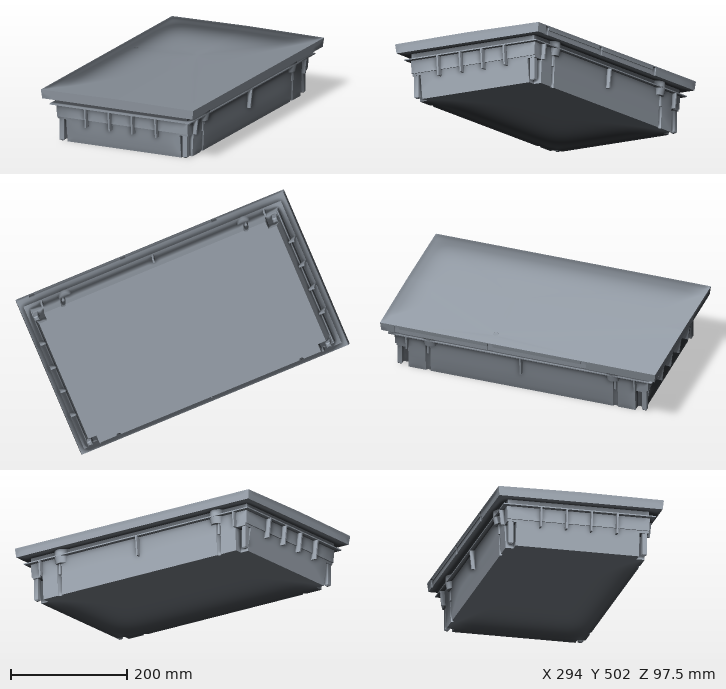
import cadquery as cq
import math

LENGTH = 502.0
WIDTH = 294.0
HEIGHT = 97.5

LID_BOTTOM = 80.0
LID_DRAFT = 2.0
CROWN = 1.5
DIP = 1.0
SLOT_PITCH = 170.5
SLOT_CENTRE = 50.5
SLOT_WIDTH = 9.5
SLOT_DEPTH = 3.5
SLOT_TOP = 94.0
EDGE_GROOVE_TOP = 88.5
EDGE_GROOVE_DEPTH = 2.5
INDICATOR_RADIUS = 5.0
INDICATOR_DEPTH = 0.25
INDICATOR_X = -115.0

FLANGE_TOP = 70.0
FLANGE_THICKNESS = 2.0
FLANGE_BOTTOM = FLANGE_TOP - FLANGE_THICKNESS
FLANGE_HALF_X = 135.0
FLANGE_HALF_Y = 240.5
COLLAR_HALF_X = 125.5
COLLAR_HALF_Y = 231.5
SIDE_BEND = 22.0
SIDE_FOOT_X = 123.5
SIDE_BEND_X = 124.5
SIDE_TOP_X = 127.0
END_STEP = 45.0
END_FOOT_Y = 222.0
END_STEP_INNER_Y = 228.5
END_STEP_OUTER_Y = 230.5

RIB_THICKNESS = 3.0
RIB_BOTTOM = 33.5
RIB_LEAN = 3.5
RIB_ROOT = 15.0
END_RIB_INNER_X = 22.0
END_RIB_OUTER_X = 68.0
CORNER_RIB_Y = 208.0

NOTCH_TOP = 41.0
NOTCH_X = 109.5
NOTCH_Y = 207.0
POST_BOTTOM = 1.5
POST_OUTER_X = 123.0
POST_INNER_X = 114.5
POST_OUTER_Y = 227.0
POST_INNER_Y = 219.0
POST_CHAMFER = 2.0

BOSS_Y = 166.5
BOSS_RADIUS = 15.0
BOSS_FOOT_RADIUS = 12.5
BOSS_BOTTOM = 56.0
BOSS_X = FLANGE_HALF_X - BOSS_RADIUS
GROOVE_Y = 171.0
GROOVE_RADIUS = 4.5
PIN_RADIUS = 2.5
PIN_BOTTOM = 37.0

SIGNS = (-1, 1)
CUT_MARGIN = 5.0


def block(x_range, y_range, z_range):
    """Box spanning the given ranges."""
    size = [abs(high - low) for low, high in (x_range, y_range, z_range)]
    centre = [(low + high) / 2 for low, high in (x_range, y_range, z_range)]
    return cq.Workplane("XY").box(*size).translate(tuple(centre))


def mirrored_outline(half_outline):
    """Close a half outline, listed from bottom to top, with its mirror image."""
    return half_outline + [(-across, up) for across, up in reversed(half_outline)]



def lid_plate():
    """Rectangular plate with sides that lean in towards the bottom."""
    thickness = HEIGHT - LID_BOTTOM
    lean = math.degrees(math.atan2(LID_DRAFT, thickness))
    crown_allowance = LID_DRAFT * CROWN / thickness
    return (
        cq.Workplane("XY").workplane(offset=HEIGHT)
        .rect(WIDTH + 2 * crown_allowance, LENGTH)
        .extrude(-thickness, taper=lean)
    )


def top_cutter():
    """Material above the saddle-shaped top: crowned across X, sagging along Y."""
    middle_crest = HEIGHT - DIP
    sweep_radius = (LENGTH / 2) ** 2 / (2 * DIP)
    half_angle = math.degrees((LENGTH / 2 + CUT_MARGIN) / sweep_radius)
    half_width = WIDTH / 2 + CUT_MARGIN
    edge_height = middle_crest - CROWN * (half_width / (WIDTH / 2)) ** 2
    axis_height = middle_crest + sweep_radius
    profile = (
        cq.Workplane("XZ")
        .moveTo(-half_width, edge_height)
        .threePointArc((0, middle_crest), (half_width, edge_height))
        .lineTo(half_width, HEIGHT + CUT_MARGIN)
        .lineTo(-half_width, HEIGHT + CUT_MARGIN)
        .close()
    )
    cutter = profile.revolve(2 * half_angle, (0, axis_height), (1, axis_height))
    return cutter.rotate((0, 0, axis_height), (1, 0, axis_height), -half_angle)


def edge_slots():
    """Three shallow upright slots across the -X edge."""
    slots = cq.Workplane("XY")
    for step in (-1, 0, 1):
        centre = SLOT_CENTRE + step * SLOT_PITCH
        slots = slots.union(block(
            (-WIDTH / 2 - CUT_MARGIN, -WIDTH / 2 + SLOT_DEPTH),
            (centre - SLOT_WIDTH / 2, centre + SLOT_WIDTH / 2),
            (LID_BOTTOM, SLOT_TOP),
        ))
    return slots


def edge_grooves():
    """Grooves along the lower -X edge, between neighbouring slots."""
    half_gap = (SLOT_PITCH - SLOT_WIDTH) / 2
    grooves = cq.Workplane("XY")
    for side in SIGNS:
        centre = SLOT_CENTRE + side * SLOT_PITCH / 2
        grooves = grooves.union(block(
            (-WIDTH / 2 - CUT_MARGIN, -WIDTH / 2 + EDGE_GROOVE_DEPTH),
            (centre - half_gap, centre + half_gap),
            (LID_BOTTOM, EDGE_GROOVE_TOP),
        ))
    return grooves


def indicator_recess():
    """Shallow round recess in the top, beside the middle slot."""
    surface = HEIGHT - DIP - CROWN * (INDICATOR_X / (WIDTH / 2)) ** 2
    return (
        cq.Workplane("XY").workplane(offset=surface - INDICATOR_DEPTH)
        .center(INDICATOR_X, SLOT_CENTRE)
        .circle(INDICATOR_RADIUS).extrude(CUT_MARGIN)
    )


def make_lid():
    lid = lid_plate().cut(top_cutter())
    return lid.cut(edge_slots()).cut(edge_grooves()).cut(indicator_recess())



def housing_core():
    """Tapered body below the flange: side profile crossed with end profile."""
    across = mirrored_outline([
        (SIDE_FOOT_X, 0),
        (SIDE_BEND_X, SIDE_BEND),
        (SIDE_TOP_X, FLANGE_BOTTOM),
    ])
    along = mirrored_outline([
        (END_FOOT_Y, 0),
        (END_STEP_INNER_Y, END_STEP),
        (END_STEP_OUTER_Y, END_STEP),
        (COLLAR_HALF_Y, FLANGE_BOTTOM),
    ])
    sides = cq.Workplane("XZ").polyline(across).close().extrude(LENGTH / 2, both=True)
    ends = cq.Workplane("YZ").polyline(along).close().extrude(WIDTH / 2, both=True)
    return sides.intersect(ends)


def flange_and_collar():
    flange = block((-FLANGE_HALF_X, FLANGE_HALF_X), (-FLANGE_HALF_Y, FLANGE_HALF_Y),
                   (FLANGE_BOTTOM, FLANGE_TOP))
    collar = block((-COLLAR_HALF_X, COLLAR_HALF_X), (-COLLAR_HALF_Y, COLLAR_HALF_Y),
                   (FLANGE_BOTTOM, LID_BOTTOM))
    return flange.union(collar)


def rib(plane, edge, side, position, bottom):
    """Tapered rib whose outer end starts at the flange edge."""
    depth = FLANGE_BOTTOM - bottom
    lean = RIB_LEAN * depth / (FLANGE_BOTTOM - RIB_BOTTOM)
    outline = [
        (side * (edge - RIB_ROOT), FLANGE_BOTTOM),
        (side * edge, FLANGE_BOTTOM),
        (side * (edge - lean), bottom),
        (side * (edge - RIB_ROOT), bottom),
    ]
    plate = cq.Workplane(plane).polyline(outline).close().extrude(RIB_THICKNESS / 2, both=True)
    shift = (position, 0, 0) if plane == "YZ" else (0, position, 0)
    return plate.translate(shift)


def ribs():
    all_ribs = cq.Workplane("XY")
    for side in SIGNS:
        for x in (-END_RIB_OUTER_X, -END_RIB_INNER_X, END_RIB_INNER_X, END_RIB_OUTER_X):
            all_ribs = all_ribs.union(rib("YZ", FLANGE_HALF_Y, side, x, RIB_BOTTOM))
        all_ribs = all_ribs.union(rib("XZ", FLANGE_HALF_X, side, 0, RIB_BOTTOM))
        for y in (-CORNER_RIB_Y, CORNER_RIB_Y):
            all_ribs = all_ribs.union(rib("XZ", FLANGE_HALF_X, side, y, NOTCH_TOP))
    return all_ribs


def corner_notch(x_side, y_side):
    return block((x_side * NOTCH_X, x_side * WIDTH / 2), (y_side * NOTCH_Y, y_side * LENGTH / 2),
                 (0, NOTCH_TOP))


def corner_post(x_side, y_side):
    post = block((x_side * POST_INNER_X, x_side * POST_OUTER_X),
                 (y_side * POST_INNER_Y, y_side * POST_OUTER_Y),
                 (POST_BOTTOM, END_STEP))
    return post.faces("<Z").chamfer(POST_CHAMFER)


def screw_boss(x_side, y_side):
    """Round boss from the lid to the flange, then tapering to its foot."""
    foot_height = FLANGE_BOTTOM - BOSS_BOTTOM
    lean = math.degrees(math.atan2(BOSS_RADIUS - BOSS_FOOT_RADIUS, foot_height))
    upper = (
        cq.Workplane("XY").workplane(offset=LID_BOTTOM)
        .center(x_side * BOSS_X, y_side * BOSS_Y)
        .circle(BOSS_RADIUS).extrude(FLANGE_BOTTOM - LID_BOTTOM)
    )
    return upper.faces("<Z").wires().toPending().extrude(-foot_height, taper=lean)


def wall_cylinder(x_side, y_side, radius, bottom):
    """Upright cylinder on the face of a long wall, ending at the foot of the boss."""
    return (
        cq.Workplane("XY").workplane(offset=bottom)
        .center(x_side * SIDE_BEND_X, y_side * GROOVE_Y)
        .circle(radius).extrude(BOSS_BOTTOM - bottom)
    )


def make_housing():
    housing = housing_core().union(flange_and_collar()).union(ribs())
    for x_side in SIGNS:
        for y_side in SIGNS:
            corner = (x_side, y_side)
            housing = housing.cut(corner_notch(*corner)).union(corner_post(*corner))
            housing = housing.cut(wall_cylinder(*corner, GROOVE_RADIUS, 0))
            housing = housing.union(screw_boss(*corner))
            housing = housing.union(wall_cylinder(*corner, PIN_RADIUS, PIN_BOTTOM))
    return housing


lid = make_lid()
housing = make_housing()

result = cq.Compound.makeCompound([lid.val(), housing.val()])